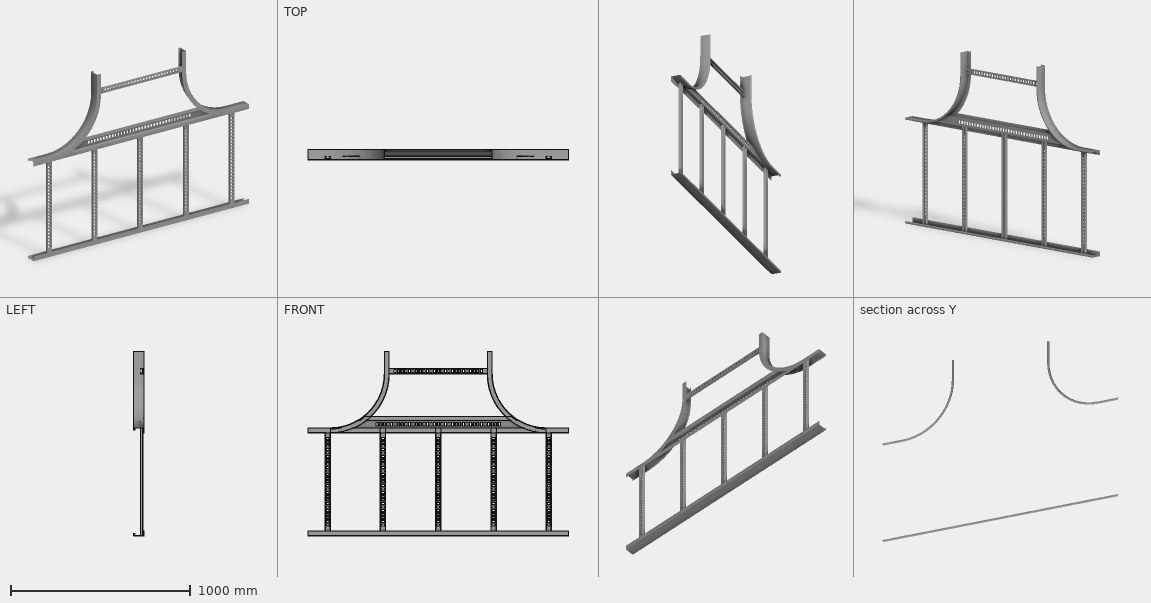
import cadquery as cq
import math

run_length = 1450.0
ladder_width = 600.0
branch_height = 1025.0
bend_radius = 300.0
branch_half_width = 300.0
bend_start_x = branch_half_width + bend_radius
bend_centre_z = ladder_width + bend_radius

sheet = 1.7
rail_depth = 60.0
front_y = -rail_depth / 2
back_y = rail_depth / 2
front_flange = 28.0
back_flange = 12.3
hook = 9.0

outer_bend = 5.0
inner_bend = outer_bend - sheet

channel_front_y = front_y + sheet
channel_depth = 20.0
channel_web = 40.0
channel_top_flange = 23.0
channel_end_gap = 5.0

rung_width = 30.0
rung_depth = 15.0
rung_lip = 7.0
rung_count = 5
rung_pitch = 307.0
rung_front_y = channel_front_y + outer_bend
branch_rung_z = bend_centre_z + rung_width / 2

slot_width = 10.0
slot_length = 17.0
slot_pitch = 20.0
rung_slots = 25
channel_slots = 35


def rail_section(plane):
    """Rail profile: local x is the depth axis Y, local y points from the web into the ladder."""
    hook_y = back_y - hook
    bend_y = back_y - outer_bend
    hook_bend = back_flange - outer_bend
    diagonal = math.sqrt(0.5)
    outer_y = bend_y + outer_bend * diagonal
    inner_y = bend_y + inner_bend * diagonal
    return (
        cq.Workplane(plane)
        .moveTo(front_y, 0)
        .lineTo(bend_y, 0)
        .threePointArc((outer_y, outer_bend * (1 - diagonal)), (back_y, outer_bend))
        .lineTo(back_y, hook_bend)
        .threePointArc((outer_y, hook_bend + outer_bend * diagonal), (bend_y, back_flange))
        .lineTo(hook_y, back_flange)
        .lineTo(hook_y, back_flange - sheet)
        .lineTo(bend_y, back_flange - sheet)
        .threePointArc((inner_y, hook_bend + inner_bend * diagonal), (back_y - sheet, hook_bend))
        .lineTo(back_y - sheet, outer_bend)
        .threePointArc((inner_y, outer_bend - inner_bend * diagonal), (bend_y, sheet))
        .lineTo(front_y + sheet, sheet)
        .lineTo(front_y + sheet, front_flange)
        .lineTo(front_y, front_flange)
        .close()
    )


def make_bottom_rail():
    plane = cq.Plane(origin=(-run_length / 2, 0, 0), xDir=(0, 1, 0), normal=(1, 0, 0))
    return rail_section(plane).extrude(run_length)


def make_left_bend_rail():
    """Straight run, quarter bend and straight branch swept as one rail."""
    end_x = -run_length / 2
    plane = cq.Plane(origin=(end_x, 0, ladder_width), xDir=(0, 1, 0), normal=(-1, 0, 0))
    half = math.sqrt(0.5) * bend_radius
    path = (
        cq.Workplane("XZ")
        .moveTo(end_x, ladder_width)
        .lineTo(-bend_start_x, ladder_width)
        .threePointArc((-bend_start_x + half, bend_centre_z - half), (-branch_half_width, bend_centre_z))
        .lineTo(-branch_half_width, branch_height)
    )
    return rail_section(plane).sweep(path)


def make_rung(length):
    """Rung standing along Z from z = 0, centred on X, slotted along its front web."""
    mouth_width = rung_width - 2 * rung_lip
    body = cq.Workplane("XY").box(rung_width, rung_depth, length, centered=(True, False, False))
    inside = (
        cq.Workplane("XY")
        .box(rung_width - 2 * sheet, rung_depth - 2 * sheet, length, centered=(True, False, False))
        .translate((0, sheet, 0))
    )
    mouth = cq.Workplane("XY").box(mouth_width, rung_depth, length, centered=(True, False, False))
    mouth = mouth.translate((0, sheet, 0))
    slots = (
        cq.Workplane("XZ", origin=(0, sheet, length / 2))
        .rarray(15, slot_pitch, 1, rung_slots)
        .rect(slot_length, slot_width)
        .extrude(sheet)
    )
    return body.cut(inside).cut(mouth).cut(slots).translate((0, rung_front_y, 0))


def make_cross_channel():
    """Hat section between the bends, its ends trimmed just clear of the rail webs."""
    front = channel_front_y
    web_y = front + channel_depth
    low = ladder_width
    high = ladder_width + channel_web
    section = (
        cq.Workplane("YZ", origin=(-bend_start_x, 0, 0))
        .moveTo(front, low - front_flange)
        .lineTo(front + sheet, low - front_flange)
        .lineTo(front + sheet, low - sheet)
        .lineTo(web_y, low - sheet)
        .lineTo(web_y, high + sheet)
        .lineTo(front + sheet, high + sheet)
        .lineTo(front + sheet, high + channel_top_flange)
        .lineTo(front, high + channel_top_flange)
        .lineTo(front, high)
        .lineTo(web_y - sheet, high)
        .lineTo(web_y - sheet, low)
        .lineTo(front, low)
        .close()
    )
    channel = section.extrude(2 * bend_start_x)
    for ledge_z, outward in ((low, -1), (high, 1)):
        outer_corner = cq.selectors.NearestToPointSelector((0, front, ledge_z))
        inner_corner = cq.selectors.NearestToPointSelector((0, front + sheet, ledge_z + outward * sheet))
        channel = channel.edges("|X").edges(outer_corner).fillet(outer_bend)
        channel = channel.edges("|X").edges(inner_corner).fillet(inner_bend)
    trim = (
        cq.Workplane("XZ", origin=(0, back_y, bend_centre_z))
        .pushPoints([(-bend_start_x, 0), (bend_start_x, 0)])
        .circle(bend_radius + sheet + channel_end_gap)
        .extrude(rail_depth)
    )
    slots = (
        cq.Workplane("XZ", origin=(0, web_y, low + channel_web / 2))
        .rarray(slot_pitch, 15, channel_slots, 1)
        .rect(slot_width, slot_length)
        .extrude(sheet)
    )
    return channel.cut(trim).cut(slots)


bottom_rail = make_bottom_rail()
left_bend_rail = make_left_bend_rail()
right_bend_rail = left_bend_rail.mirror("YZ")

main_rung = make_rung(ladder_width - 2 * sheet)
main_rungs = []
for index in range(rung_count):
    rung_x = (index - (rung_count - 1) / 2) * rung_pitch
    main_rungs.append(main_rung.translate((rung_x, 0, sheet)))

branch_rung_length = 2 * (branch_half_width - sheet)
branch_rung = (
    make_rung(branch_rung_length)
    .rotate((0, 0, 0), (0, 1, 0), 90)
    .translate((-branch_rung_length / 2, 0, branch_rung_z))
)

cross_channel = make_cross_channel()

result = cq.Compound.makeCompound([
    bottom_rail.val(),
    left_bend_rail.val(),
    right_bend_rail.val(),
    *[rung.val() for rung in main_rungs],
    branch_rung.val(),
    cross_channel.val(),
])